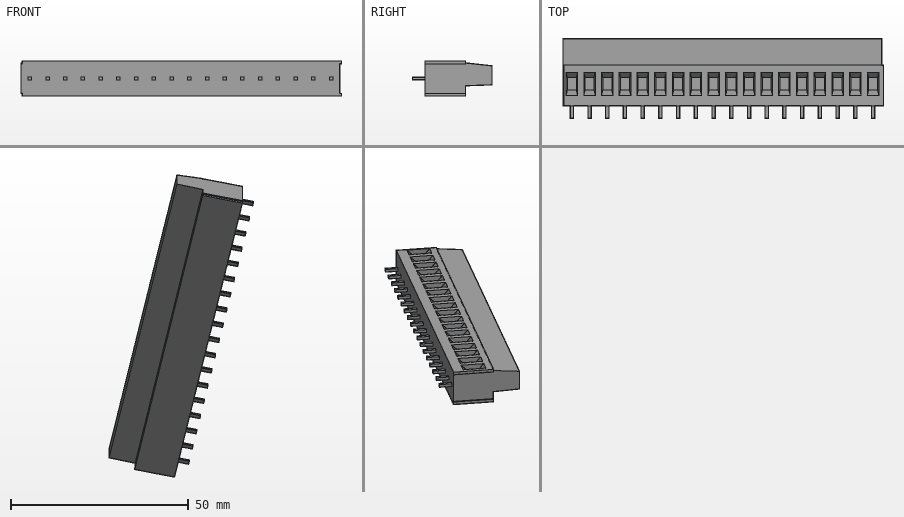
import cadquery as cq

poles = 18
housing_length = 90.05
pitch = housing_length / poles
block_depth = 11.5
block_height = 10.0

nose_depth = 7.5
nose_root_top = 9.4
nose_tip_top = 8.6
nose_root_bottom = 2.9
nose_tip_bottom = 3.2

lip_width = 0.45
rebate_width = 0.4
strip_height = 0.8

pin_width = 1.0
pin_thickness = 0.8
pin_length = 3.5

pocket_width = 3.3
pocket_length = 6.5
pocket_setback = 3.0
pocket_depth = 1.45
floor_width = 2.5
floor_length = 3.5
floor_setback = 4.5


def make_housing():
    """Side outline of block and nose, extruded along the row of poles."""
    nose_end = block_depth + nose_depth
    outline = [
        (0, 0),
        (block_depth, 0),
        (block_depth, nose_root_bottom),
        (nose_end, nose_tip_bottom),
        (nose_end, nose_tip_top),
        (block_depth, nose_root_top),
        (block_depth, block_height),
        (0, block_height),
    ]
    return cq.Workplane("YZ").polyline(outline).close().extrude(housing_length)


def make_edge_strips(x, width):
    """Strips of the given width along the top and bottom edges of the block, starting at x."""
    strip = cq.Workplane("XY").box(width, block_depth, strip_height, centered=False)
    lower = strip.translate((x, 0, 0))
    upper = strip.translate((x, 0, block_height - strip_height))
    return lower.union(upper)


def make_pocket(x):
    """Pocket with four sloping walls, centred on x and narrowing towards its floor."""
    mouth_y = pocket_setback + pocket_length / 2
    floor_y = floor_setback + floor_length / 2
    return (
        cq.Workplane("XY", origin=(x, mouth_y, block_height))
        .rect(pocket_width, pocket_length)
        .workplane(offset=-pocket_depth)
        .center(0, floor_y - mouth_y)
        .rect(floor_width, floor_length)
        .loft(ruled=True)
    )


def make_pin(x):
    """Rectangular pin centred on x, standing out of the front face."""
    return (
        cq.Workplane("XZ", origin=(x, 0, block_height / 2))
        .rect(pin_width, pin_thickness)
        .extrude(pin_length)
    )


result = make_housing()
result = result.cut(make_edge_strips(0, rebate_width))
result = result.union(make_edge_strips(housing_length, lip_width))
for pole in range(poles):
    pole_x = (pole + 0.5) * pitch
    result = result.cut(make_pocket(pole_x)).union(make_pin(pole_x))